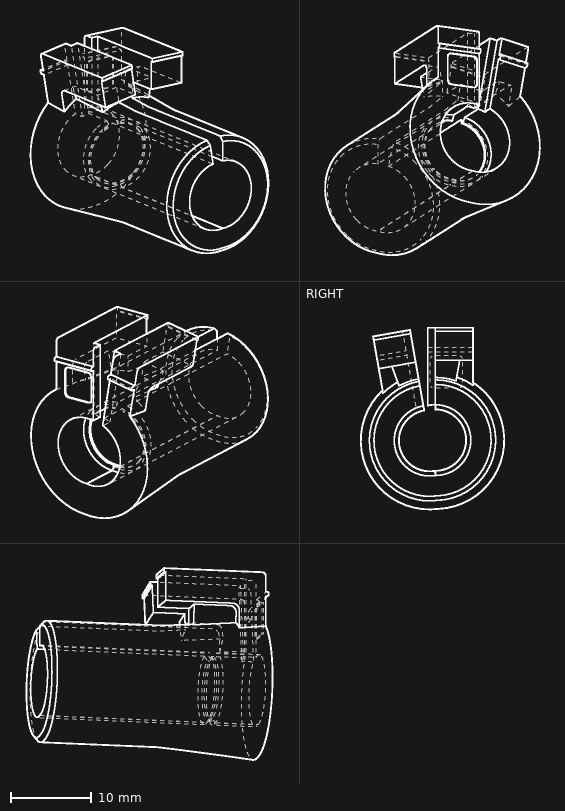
import cadquery as cq
import math


sleeve_length = 27.78
tail_radius = 7.5
front_radius = 8.58
flare_length = 12.2
tail_chamfer = 0.57
bore_radius = 4.4

ridge_start = 5.42
ridge_flank = 0.4
ridge_crest = 0.28
ridge_height = 0.6

opening_angle = 10.0
hinge_depth = 4.17

tab_top = 14.0
tab_width = 4.7
tab_length = 12.75
tab_underside = 9.9
tab_edge_radius = 0.48
tab_rim_height = 0.48
tab_rim_overhang = 0.2
column_length = 3.38
column_fillet = 0.85

web_end = 8.75
web_foot_height = 7.8
web_foot_offset = 2.65
web_lean = 10.0

step_length = 1.5
step_width = 0.97

bead_height = 11.27
bead_thickness = 0.57
fixed_bead_reach = 0.4
swung_bead_reach = 0.62

label_size = 4.03
label_center_y = 1.33
label_center_z = 8.52
label_corner_radius = 0.5
label_depth = 0.2


def box(x_range, y_range, z_range):
    """Box between the given limits along each axis."""
    (x0, x1), (y0, y1), (z0, z1) = x_range, y_range, z_range
    return cq.Workplane("XY").box(x1 - x0, y1 - y0, z1 - z0, centered=False).translate((x0, y0, z0))


def revolved(profile):
    """Turn a closed (x, radius) profile fully round the X axis."""
    return profile.close().revolve(360, (0, 0, 0), (1, 0, 0))


def make_outer_body():
    """Solid sleeve: a flare tapering to a plain cylinder, chamfered at the tail."""
    profile = (
        cq.Workplane("XY")
        .lineTo(0, front_radius)
        .lineTo(flare_length, tail_radius)
        .lineTo(sleeve_length - tail_chamfer, tail_radius)
        .lineTo(sleeve_length, tail_radius - tail_chamfer)
        .lineTo(sleeve_length, 0)
    )
    return revolved(profile)


def make_bore():
    """Bore volume, narrowed by the ridge."""
    crest_start = ridge_start + ridge_flank
    crest_end = crest_start + ridge_crest
    profile = (
        cq.Workplane("XY")
        .lineTo(0, bore_radius)
        .lineTo(ridge_start, bore_radius)
        .lineTo(crest_start, bore_radius - ridge_height)
        .lineTo(crest_end, bore_radius - ridge_height)
        .lineTo(crest_end + ridge_flank, bore_radius)
        .lineTo(sleeve_length, bore_radius)
        .lineTo(sleeve_length, 0)
    )
    return revolved(profile)


def make_tab(y_range):
    """L-shaped tab: a column at the front and an overhanging arm with a rim along its end."""
    y0, y1 = y_range
    column = box((0, column_length), y_range, (0, tab_top))
    arm = box((0, tab_length), y_range, (tab_underside, tab_top))
    rim = box((0, tab_length + tab_rim_overhang), y_range, (tab_top - tab_rim_height, tab_top))
    inner_corner = cq.selectors.NearestToPointSelector((column_length, (y0 + y1) / 2, tab_underside))
    front_edge = cq.selectors.NearestToPointSelector((0, (y0 + y1) / 2, tab_top))
    tab = column.union(arm).edges(inner_corner).fillet(column_fillet).union(rim)
    return tab.edges(front_edge).fillet(tab_edge_radius)


def make_web():
    """Web under the arm, its outer face leaning outward towards the arm."""
    lean = math.tan(math.radians(web_lean))
    foot_y = web_foot_offset - web_foot_height * lean
    arm_y = foot_y + tab_underside * lean
    root_z = bore_radius
    return (
        cq.Workplane("YZ")
        .moveTo(0, root_z)
        .lineTo(foot_y + root_z * lean, root_z)
        .lineTo(arm_y, tab_underside)
        .lineTo(0, tab_underside)
        .close()
        .extrude(web_end)
    )


def make_bead(y_range, reach):
    """Bead with a half-round nose that stands out from the front face by the given reach."""
    y0, y1 = y_range
    half = bead_thickness / 2
    root_x = step_length / 2
    return (
        cq.Workplane("XZ", origin=(0, y1, bead_height))
        .moveTo(root_x, -half)
        .lineTo(half - reach, -half)
        .threePointArc((-reach, 0), (half - reach, half))
        .lineTo(root_x, half)
        .close()
        .extrude(y1 - y0)
    )


def make_plain_half():
    """Half sleeve with tab and web on the +Y side of the split plane."""
    half_space = box((0, sleeve_length), (0, front_radius), (-front_radius, front_radius))
    half = make_outer_body().intersect(half_space)
    return half.union(make_web()).union(make_tab((0, tab_width))).cut(make_bore())


def make_upright_half():
    """+Y half with the front step, the short bead and the label recess."""
    tab_range = (-step_width, tab_width)
    step = make_tab(tab_range).intersect(box((0, step_length), (-step_width, 0), (0, tab_top)))
    label = (
        box(
            (0, label_depth),
            (label_center_y - label_size / 2, label_center_y + label_size / 2),
            (label_center_z - label_size / 2, label_center_z + label_size / 2),
        )
        .edges("|X")
        .fillet(label_corner_radius)
    )
    half = make_plain_half().union(step.cut(make_bore()))
    return half.union(make_bead(tab_range, fixed_bead_reach)).cut(label)


def make_swung_half():
    """-Y half with the recess for the step and the long bead, swung open about the hinge line."""
    recess = box((0, step_length), (-step_width, 0), (0, tab_top))
    half = make_plain_half().mirror("XZ").cut(recess)
    bead = make_bead((-tab_width, -step_width), swung_bead_reach)
    hinge_start = (0, 0, -hinge_depth)
    hinge_end = (1, 0, -hinge_depth)
    return half.union(bead).rotate(hinge_start, hinge_end, opening_angle)


result = make_upright_half().union(make_swung_half())